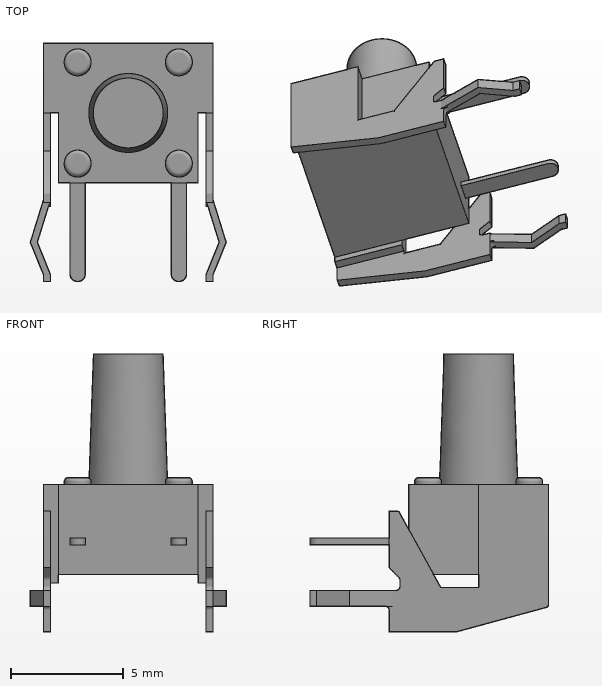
import cadquery as cq

body_side = 6.21
body_half = body_side / 2
overall_width = 7.53
half_width = overall_width / 2
body_top = 6.55
body_bottom = 2.55
flange_bottom = 2.16

button_top = 12.35
button_base_diameter = 3.51
button_tip_diameter = 3.1

rivet_offset = 2.25
rivet_diameter = 1.2
rivet_height = 0.31
rivet_rounding = 0.19

front_end = -7.49
terminal_width = 0.69
terminal_bottom = 3.87
terminal_thickness = 0.31

plate_thickness = 0.32
plate_front = -3.98
slope_end_y = -0.98
rear_corner_z = 1.11
rear_corner_rounding = 0.12
window_front_y = -1.68
window_bottom = 1.98
tip_rear_y = -3.55
tip_top = 5.36
tip_rounding = 0.1
notch_top = 2.85
notch_depth = 0.48
notch_rounding = 0.19
notch_corner_rounding = 0.22

leg_bottom = 1.14
leg_top = 1.84
leg_bend_start = -3.85
leg_peak_y = -5.74
leg_bend_end = -7.19
leg_outward_reach = 0.587
leg_root_rounding = 0.17


def make_housing():
    height = body_top - body_bottom
    body = cq.Workplane("XY").box(body_side, body_side, height, centered=(True, True, False))
    body = body.translate((0, 0, body_bottom))
    flange_width = half_width - body_half
    for side in (-1, 1):
        flange = cq.Workplane("XY").box(
            flange_width, body_half, body_top - flange_bottom, centered=(True, False, False)
        )
        body = body.union(flange.translate((side * (body_half + flange_width / 2), 0, flange_bottom)))
    return body


def make_button():
    return (
        cq.Workplane("XY", origin=(0, 0, body_top))
        .circle(button_base_diameter / 2)
        .workplane(offset=button_top - body_top)
        .circle(button_tip_diameter / 2)
        .loft(ruled=True)
    )


def make_rivets():
    return (
        cq.Workplane("XY", origin=(0, 0, body_top))
        .rect(2 * rivet_offset, 2 * rivet_offset, forConstruction=True)
        .vertices()
        .circle(rivet_diameter / 2)
        .extrude(rivet_height)
        .faces(">Z")
        .edges()
        .fillet(rivet_rounding)
    )


def make_terminal(x):
    """Straight flat terminal with a full-round tip."""
    radius = terminal_width / 2
    tip_start = front_end + radius
    return (
        cq.Workplane("XY", origin=(x, 0, terminal_bottom))
        .moveTo(-radius, -body_half)
        .lineTo(-radius, tip_start)
        .threePointArc((0, front_end), (radius, tip_start))
        .lineTo(radius, -body_half)
        .close()
        .extrude(terminal_thickness)
    )


def make_bracket_side():
    """Right-hand side plate and its outward-bent leg."""
    inner_x = half_width - plate_thickness
    notch_y = plate_front + notch_depth
    outline = [
        (body_half, body_top),
        (body_half, rear_corner_z),
        (slope_end_y, 0),
        (plate_front, 0),
        (plate_front, leg_top),
        (notch_y, leg_top),
        (notch_y, notch_top - notch_depth),
        (plate_front, notch_top),
        (plate_front, tip_top),
        (tip_rear_y, tip_top),
        (window_front_y, window_bottom),
        (0, window_bottom),
        (0, body_top),
    ]

    def edge_at(y, z):
        return cq.selectors.NearestToPointSelector((half_width - plate_thickness / 2, y, z))

    plate = cq.Workplane("YZ", origin=(inner_x, 0, 0)).polyline(outline).close().extrude(plate_thickness)
    plate = plate.edges(edge_at(body_half, rear_corner_z)).fillet(rear_corner_rounding)
    plate = plate.edges(edge_at(tip_rear_y, tip_top)).fillet(tip_rounding)
    plate = plate.edges(edge_at(notch_y, leg_top)).fillet(notch_rounding)
    plate = plate.edges(edge_at(notch_y, notch_top - notch_depth)).fillet(notch_corner_rounding)

    outer_path = [
        (half_width, notch_y - notch_rounding),
        (half_width, leg_bend_start),
        (half_width + leg_outward_reach, leg_peak_y),
        (half_width, leg_bend_end),
        (half_width, front_end),
    ]
    inner_path = [(x - plate_thickness, y) for x, y in reversed(outer_path)]
    leg = (
        cq.Workplane("XY", origin=(0, 0, leg_bottom))
        .polyline(outer_path + inner_path)
        .close()
        .extrude(leg_top - leg_bottom)
    )

    root = (
        cq.Workplane("YZ", origin=(inner_x, 0, 0))
        .moveTo(plate_front, leg_bottom)
        .lineTo(plate_front - leg_root_rounding, leg_bottom)
        .radiusArc((plate_front, leg_bottom - leg_root_rounding), leg_root_rounding)
        .close()
        .extrude(plate_thickness)
    )
    return plate.union(leg).union(root)


bracket_side = make_bracket_side()
result = make_housing().union(make_button()).union(make_rivets())
for terminal_x in (-rivet_offset, rivet_offset):
    result = result.union(make_terminal(terminal_x))
result = result.union(bracket_side).union(bracket_side.mirror("YZ"))